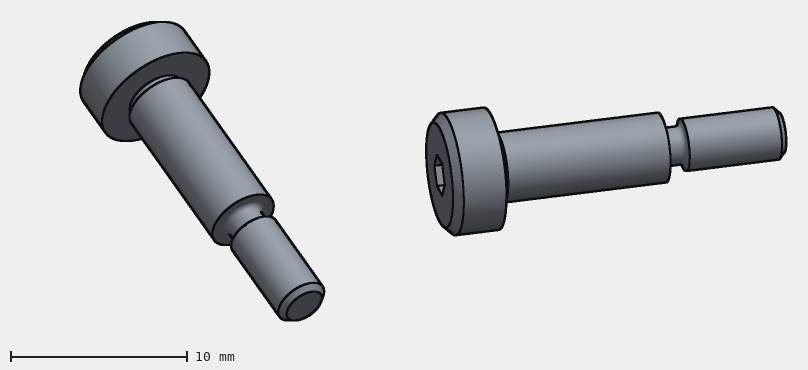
import cadquery as cq
import math

overall_length = 20.0

head_diameter = 7.0
head_length = 3.0
head_chamfer = 0.5

neck_diameter = 3.4
neck_length = 0.5

shoulder_diameter = 4.0
shoulder_end = 13.0

groove_diameter = 2.2
groove_length = 1.25
groove_radius = groove_diameter / 2
groove_fillet = 0.3
cone_angle = math.radians(70)

thread_diameter = 3.0
thread_chamfer = 0.35

socket_across_flats = 2.0
socket_depth = 1.5


def cylinder(start, end, diameter):
    """Solid cylinder on the X axis from start to end."""
    return cq.Workplane("YZ", origin=(start, 0, 0)).circle(diameter / 2).extrude(end - start)


def make_head():
    """Cylindrical head with a chamfer around its outer face."""
    return cylinder(0, head_length, head_diameter).faces("<X").chamfer(head_chamfer)


def make_groove_core():
    """Undercut flaring into the shoulder face, and through a fillet and cone up to the thread."""
    start = shoulder_end
    end = shoulder_end + groove_length
    fillet_center_radius = groove_radius + groove_fillet

    tangent_radius = fillet_center_radius - groove_fillet * math.cos(cone_angle)
    cone_length = (thread_diameter / 2 - tangent_radius) / math.tan(cone_angle)
    tangent_x = end - cone_length
    thread_fillet_x = tangent_x - groove_fillet * math.sin(cone_angle)
    shoulder_fillet_x = start + groove_fillet

    def fillet_point(center_x, turn):
        """Point on a fillet circle, turned from its lowest point toward +X."""
        return (
            center_x + groove_fillet * math.sin(turn),
            fillet_center_radius - groove_fillet * math.cos(turn),
        )

    profile = (
        cq.Workplane("XY")
        .moveTo(start, 0)
        .lineTo(start, fillet_center_radius)
        .threePointArc(
            fillet_point(shoulder_fillet_x, -math.pi / 4),
            (shoulder_fillet_x, groove_radius),
        )
        .lineTo(thread_fillet_x, groove_radius)
        .threePointArc(
            fillet_point(thread_fillet_x, cone_angle / 2),
            (tangent_x, tangent_radius),
        )
        .lineTo(end, thread_diameter / 2)
        .lineTo(end, 0)
        .close()
    )
    return profile.revolve(360, (0, 0, 0), (1, 0, 0))


def make_thread():
    """Plain cylinder at the thread's major diameter, chamfered at the tip."""
    thread_start = shoulder_end + groove_length
    return cylinder(thread_start, overall_length, thread_diameter).faces(">X").chamfer(thread_chamfer)


def make_socket():
    """Hexagonal key socket with two flats facing up and down and corners along Y."""
    across_corners = socket_across_flats / math.cos(math.pi / 6)
    return cq.Workplane("YZ").polygon(6, across_corners).extrude(socket_depth)


neck_end = head_length + neck_length

result = (
    make_head()
    .union(cylinder(head_length, neck_end, neck_diameter))
    .union(cylinder(neck_end, shoulder_end, shoulder_diameter))
    .union(make_groove_core())
    .union(make_thread())
    .cut(make_socket())
)